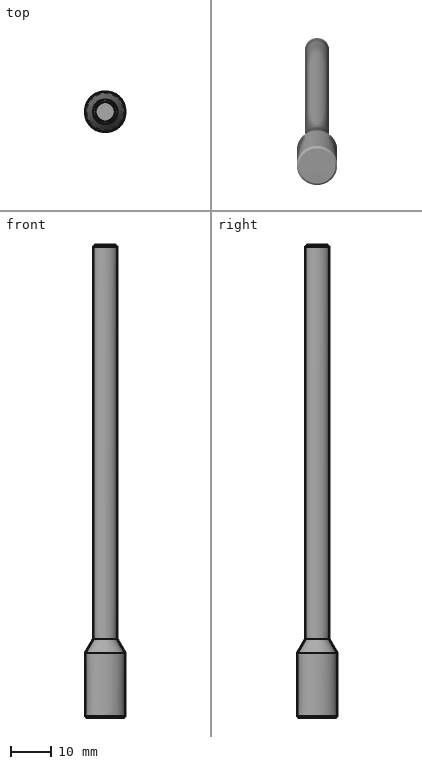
import cadquery as cq
import math

total_length = 117.0
head_diameter = 10.01
head_length = 16.0
head_chamfer = 0.5
shank_diameter = 6.0
shank_chamfer = 0.6
neck_half_angle = 30.0

head_radius = head_diameter / 2
shank_radius = shank_diameter / 2
neck_length = (head_radius - shank_radius) / math.tan(math.radians(neck_half_angle))
shank_start = head_length + neck_length


def make_head():
    """Cylindrical head standing on Z = 0, with a chamfered lower rim."""
    return cq.Workplane("XY").circle(head_radius).extrude(head_length).faces("<Z").chamfer(head_chamfer)


def make_shank():
    """Shank with a conical neck that meets the flat top of the head."""
    profile = (
        cq.Workplane("XZ")
        .moveTo(0, head_length)
        .lineTo(head_radius, head_length)
        .lineTo(shank_radius, shank_start)
        .lineTo(shank_radius, total_length)
        .lineTo(0, total_length)
        .close()
    )
    return profile.revolve(360, (0, 0, 0), (0, 1, 0)).faces(">Z").chamfer(shank_chamfer)


head = make_head()
shank = make_shank()

result = cq.Compound.makeCompound([head.val(), shank.val()])